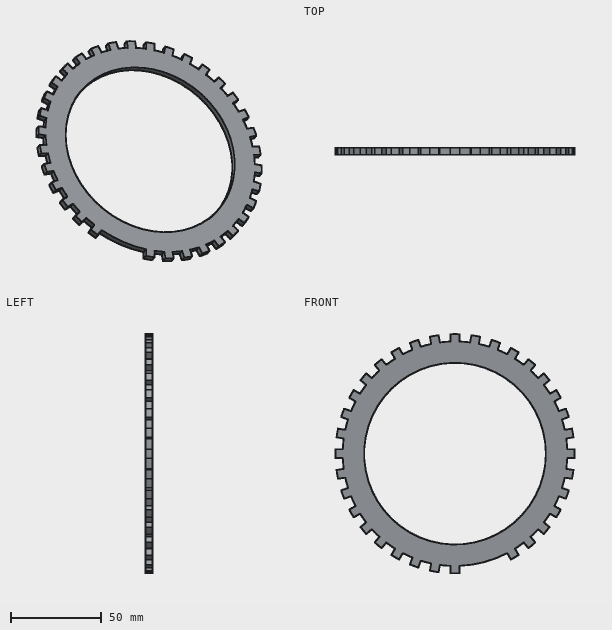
import cadquery as cq

outer_diameter = 132.0
root_diameter = 124.0
bore_diameter = 100.0
thickness = 4.0

tooth_positions = 36
tooth_width = 5.0
missing_positions = (28, 29)
root_overlap = 1.3

pitch_angle = 360.0 / tooth_positions


def disc(diameter):
    """Solid disc about the Y axis, centred on the XZ plane."""
    return cq.Workplane("XZ").circle(diameter / 2).extrude(thickness / 2, both=True)


def tooth_blocks():
    """Straight-sided radial blocks, reaching past the tip circle."""
    inner_radius = root_diameter / 2 - root_overlap
    outer_radius = outer_diameter / 2 + root_overlap
    block = cq.Workplane("XY").box(outer_radius - inner_radius, thickness, tooth_width)
    block = block.translate(((inner_radius + outer_radius) / 2, 0, 0))
    blocks = cq.Workplane("XY")
    for position in range(tooth_positions):
        if position not in missing_positions:
            blocks = blocks.add(block.rotate((0, 0, 0), (0, 1, 0), -position * pitch_angle))
    return blocks.combine()


teeth = tooth_blocks().intersect(disc(outer_diameter))

result = disc(root_diameter).union(teeth).cut(disc(bore_diameter))